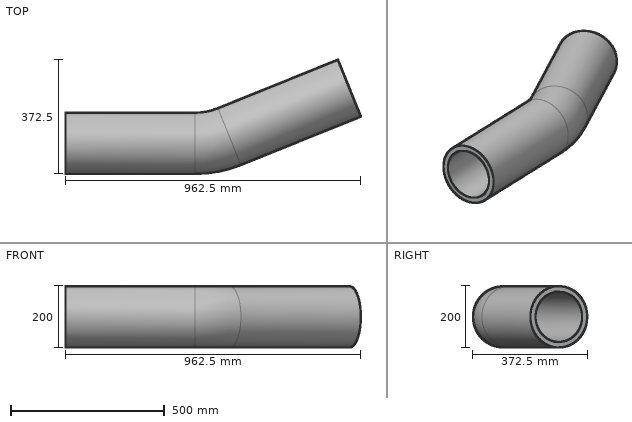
import cadquery as cq
import math

overall_length = 962.5
outer_diameter = 200.0
inner_diameter = 164.0
bend_angle = 22.0
bend_radius = 1.5 * outer_diameter

angle = math.radians(bend_angle)
bend_extent = (bend_radius + outer_diameter / 2) * math.sin(angle)
leg_length = (overall_length - bend_extent) / (1 + math.cos(angle))

bend_start = (leg_length, 0)


def point_on_bend(turn):
    """Centreline point after turning by the given angle in radians."""
    return (
        leg_length + bend_radius * math.sin(turn),
        bend_radius * (1 - math.cos(turn)),
    )


bend_middle = point_on_bend(angle / 2)
bend_end = point_on_bend(angle)
pipe_end = (
    bend_end[0] + leg_length * math.cos(angle),
    bend_end[1] + leg_length * math.sin(angle),
)

centreline = (
    cq.Workplane("XY")
    .lineTo(*bend_start)
    .threePointArc(bend_middle, bend_end)
    .lineTo(*pipe_end)
)

result = (
    cq.Workplane("YZ")
    .circle(outer_diameter / 2)
    .circle(inner_diameter / 2)
    .sweep(centreline)
)